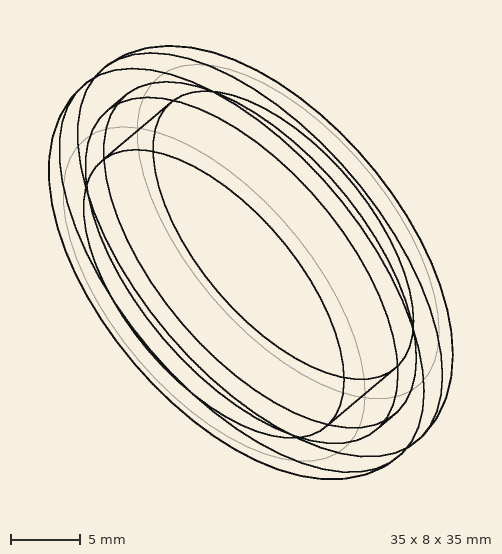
import cadquery as cq
import math

outer_diameter = 35.0
groove_diameter = 30.0
bore_diameter = 25.0
flange_thickness = 3.0
groove_width = 2.0
floor_thickness = 0.5

outer_radius = outer_diameter / 2
groove_radius = groove_diameter / 2
bore_radius = bore_diameter / 2
total_thickness = 2 * flange_thickness + groove_width
front_y = -total_thickness / 2
back_y = total_thickness / 2
groove_half = groove_width / 2

face_radius = outer_radius - flange_thickness
arc_offset = flange_thickness * math.sqrt(0.5)


def make_body():
    """Revolve the half section, with radius along X, about the Y axis."""
    profile = (
        cq.Workplane("XY")
        .moveTo(0, front_y)
        .lineTo(face_radius, front_y)
        .threePointArc((face_radius + arc_offset, -groove_half - arc_offset), (outer_radius, -groove_half))
        .lineTo(groove_radius, -groove_half)
        .lineTo(groove_radius, groove_half)
        .lineTo(outer_radius, groove_half)
        .threePointArc((face_radius + arc_offset, groove_half + arc_offset), (face_radius, back_y))
        .lineTo(0, back_y)
        .close()
    )
    return profile.revolve(360, (0, 0, 0), (0, 1, 0))


def make_bore():
    """Blind bore opening on the -Y face and leaving the closed floor."""
    bore_depth = total_thickness - floor_thickness
    return (
        cq.Workplane("XZ", origin=(0, front_y, 0))
        .circle(bore_radius)
        .extrude(-bore_depth)
    )


result = make_body().cut(make_bore())